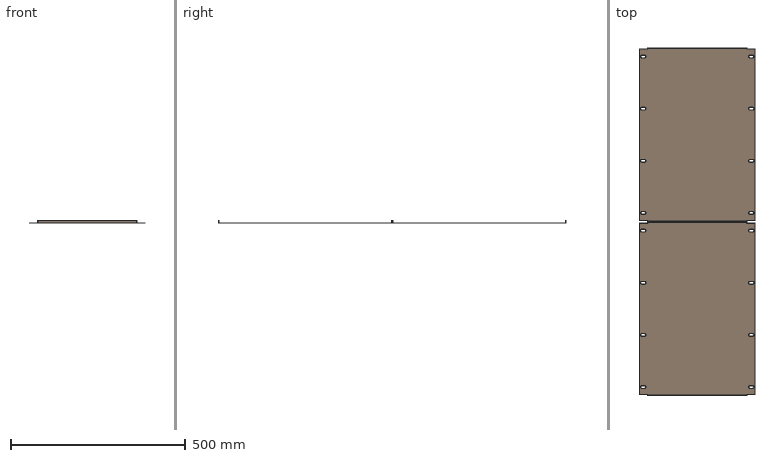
import cadquery as cq

overall_length = 998.0
overall_height = 8.0
plate_width = 332.0
sheet = 1.0
gap_between_plates = 2.0

lip_width = 285.0
lip_reach = 2.5
inner_bend_radius = sheet
outer_bend_radius = inner_bend_radius + sheet

slot_length = 15.0
slot_width = 7.0
slot_edge_offset = 11.0
slot_pitch = 150.0
slots_per_side = 4

plate_length = (overall_length - gap_between_plates) / 2
plate_pitch = plate_length + gap_between_plates
panel_length = plate_length - 2 * lip_reach
slot_row_spacing = plate_width - 2 * slot_edge_offset


def flat_panel():
    """Flat rectangular sheet with its underside at Z = 0."""
    return cq.Workplane("XY").box(plate_width, panel_length, sheet, centered=(True, True, False))


def end_lip(end):
    """Lip at one end (+1 or -1): a short ledge that bends up into a wall."""
    panel_end = end * panel_length / 2
    wall_outer = end * plate_length / 2
    wall_inner = wall_outer - end * sheet
    bend_start = wall_outer - end * outer_bend_radius
    return (
        cq.Workplane("YZ")
        .moveTo(panel_end, 0)
        .lineTo(bend_start, 0)
        .tangentArcPoint((wall_outer, outer_bend_radius), relative=False)
        .lineTo(wall_outer, overall_height)
        .lineTo(wall_inner, overall_height)
        .lineTo(wall_inner, outer_bend_radius)
        .tangentArcPoint((bend_start, sheet), relative=False)
        .lineTo(panel_end, sheet)
        .close()
        .extrude(lip_width / 2, both=True)
    )


def fixing_slots():
    """Round-ended cutters, long side along X, in a row beside each long edge."""
    return (
        cq.Workplane("XY")
        .rarray(slot_row_spacing, slot_pitch, 2, slots_per_side)
        .slot2D(slot_length, slot_width)
        .extrude(sheet)
    )


def lipped_plate(centre_y):
    """One complete plate, centred at the given place along Y."""
    body = flat_panel()
    for end in (-1, 1):
        body = body.union(end_lip(end))
    return body.cut(fixing_slots()).translate((0, centre_y, 0))


plates = [lipped_plate(side * plate_pitch / 2) for side in (-1, 1)]

result = cq.Compound.makeCompound([plate.solids().val() for plate in plates])